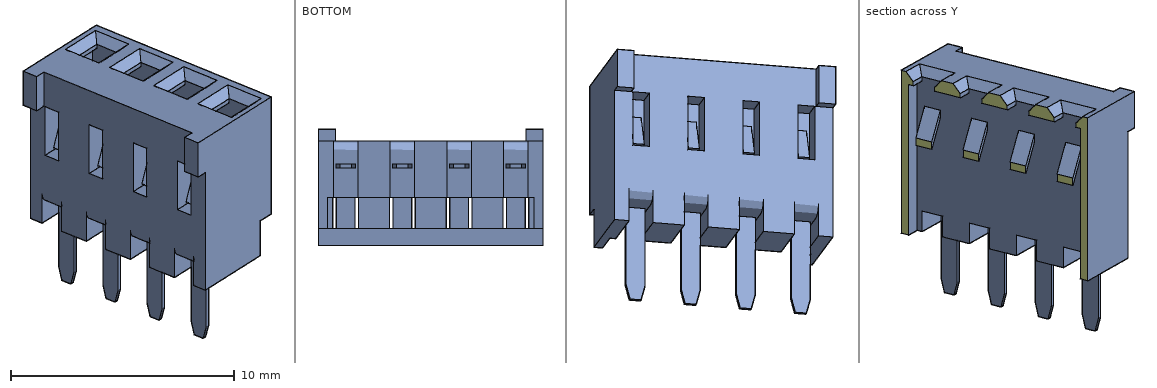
import cadquery as cq
import math


width = 10.06
total_height = 11.23
body_bottom = 3.34
body_depth = 4.69
rear_step_depth = 0.77
rear_step_z = 5.14
tab_width = 0.77
tab_depth = 0.52
tab_height = 1.77

position_count = 4
pitch = 2.54

funnel_width = 1.91
funnel_inset = 0.38
throat_width = funnel_width - 2 * funnel_inset
throat_back = body_depth - rear_step_depth
throat_front = 2.55
throat_height = 0.21
funnel_depth = 0.4
room_width = 9.25
room_top = total_height - funnel_depth - throat_height

window_width = 0.76
window_top = total_height - tab_height
window_height = 2.53
window_bottom = window_top - window_height
notch_width = 1.1
notch_top = 4.33
notch_lip_radius = 0.52

pin_width = 0.88
pin_thickness = 0.18
pin_front = 1.03
pin_tip_width = 0.52
pin_taper_height = 0.66
lance_width = 0.5
lance_top = 8.62
lance_height = 1.46
lance_angle = 22.0
lance_thickness = 0.37
finger_width = 0.85
finger_top = 9.43
finger_angle = 62.0
finger_tip_angle = 75.0
finger_tip_run = 0.07
finger_thickness = 0.18
overlap = 0.11

position_xs = [(i - (position_count - 1) / 2) * pitch for i in range(position_count)]


def block(x_center, x_size, y_min, y_max, z_min, z_max):
    """Box centred on x_center in X and spanning the given Y and Z limits."""
    box = cq.Workplane("XY").box(x_size, y_max - y_min, z_max - z_min, centered=(True, False, False))
    return box.translate((x_center, y_min, z_min))


def side_profile(x_center, x_size, points):
    """Closed (Y, Z) outline extruded symmetrically about x_center."""
    return cq.Workplane("YZ", origin=(x_center, 0, 0)).polyline(points).close().extrude(x_size / 2, both=True)


def housing_shell():
    """Stepped body with a tab at each front upper corner and one room shared by all positions."""
    shell = block(0, width, 0, body_depth, body_bottom, total_height)
    shell = shell.cut(block(0, width, throat_back, body_depth, body_bottom, rear_step_z))
    for side in (-1, 1):
        tab_x = side * (width - tab_width) / 2
        shell = shell.union(block(tab_x, tab_width, -tab_depth, overlap, window_top, total_height))
    return shell.cut(block(0, room_width, throat_front, throat_back, body_bottom, room_top))


def entry(x):
    """Funnel opening at the top face, narrowing to a straight throat into the room."""
    throat_depth = throat_back - throat_front
    throat_y = (throat_front + throat_back) / 2
    funnel = (
        cq.Workplane("XY", origin=(x, throat_y, total_height))
        .rect(funnel_width, throat_depth + 2 * funnel_inset)
        .workplane(offset=-funnel_depth)
        .rect(throat_width, throat_depth)
        .loft(ruled=True)
    )
    return funnel.union(block(x, throat_width, throat_front, throat_back, room_top, total_height))


def notch(x):
    """Bottom notch running front to back, with a rounded front lip on its ceiling."""
    lip_top = notch_top + notch_lip_radius
    lip_offset = notch_lip_radius * (1 - math.sqrt(0.5))
    outline = (
        cq.Workplane("YZ", origin=(x, 0, 0))
        .moveTo(0, body_bottom)
        .lineTo(0, lip_top)
        .threePointArc((lip_offset, notch_top + lip_offset), (notch_lip_radius, notch_top))
        .lineTo(body_depth, notch_top)
        .lineTo(body_depth, body_bottom)
        .close()
    )
    return outline.extrude(notch_width / 2, both=True)


def window(x):
    """Front window reaching back to the contact plate."""
    return block(x, window_width, 0, pin_front, window_bottom, window_top)


def pin(x):
    """Flat pin with a tapered tip, let into the notch ceiling."""
    outline = [
        (-pin_tip_width / 2, 0),
        (-pin_width / 2, pin_taper_height),
        (-pin_width / 2, notch_top + overlap),
        (pin_width / 2, notch_top + overlap),
        (pin_width / 2, pin_taper_height),
        (pin_tip_width / 2, 0),
    ]
    plane = cq.Workplane("XZ", origin=(x, pin_front, 0))
    return plane.polyline(outline).close().extrude(-pin_thickness)


def lance(x):
    """Locking lance that slopes down and forward into the window, with a square-cut end."""
    angle = math.radians(lance_angle)
    tip_y = pin_front - lance_height * math.tan(angle)
    tip_z = lance_top - lance_height
    heel_y = tip_y + lance_thickness * math.cos(angle)
    heel_z = tip_z - lance_thickness * math.sin(angle)
    heel_root_z = heel_z + (pin_front - heel_y) / math.tan(angle)
    points = [
        (pin_front, lance_top),
        (tip_y, tip_z),
        (heel_y, heel_z),
        (pin_front, heel_root_z),
        (pin_front + overlap, heel_root_z),
        (pin_front + overlap, lance_top),
    ]
    return side_profile(x, lance_width, points)


def finger(x):
    """Spring finger that slopes from the front of the room down to its rear wall."""
    bend_y = throat_back - finger_tip_run
    slope = math.tan(math.radians(finger_angle))
    bend_z = finger_top - slope * (bend_y - throat_front)
    end_z = bend_z - finger_tip_run * math.tan(math.radians(finger_tip_angle))
    drop = finger_thickness / math.cos(math.radians(finger_angle))
    points = [
        (throat_front - overlap, finger_top + slope * overlap),
        (throat_front, finger_top),
        (bend_y, bend_z),
        (throat_back, end_z),
        (throat_back, end_z - drop),
        (bend_y, bend_z - drop),
        (throat_front - overlap, finger_top + slope * overlap - drop),
    ]
    return side_profile(x, finger_width, points)


result = housing_shell()
for position_x in position_xs:
    for cutter in (entry, notch, window):
        result = result.cut(cutter(position_x))
    for contact_part in (pin, lance, finger):
        result = result.union(contact_part(position_x))